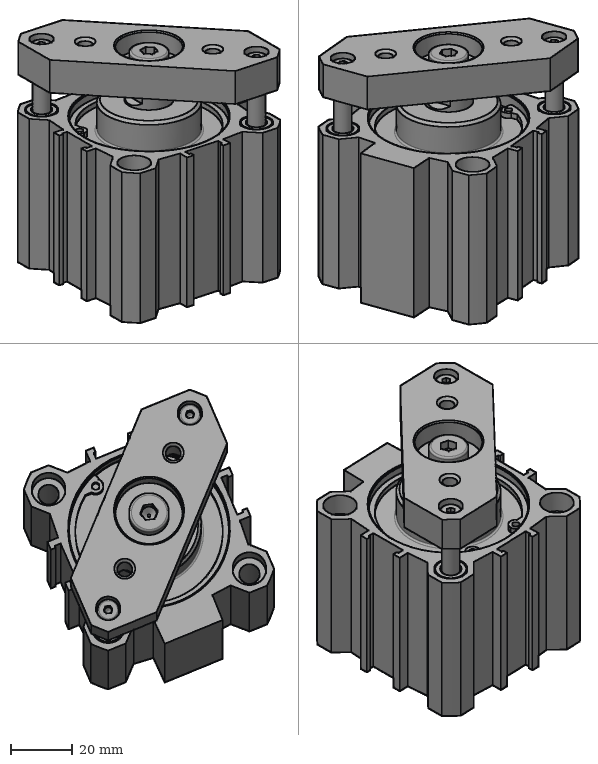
import cadquery as cq
import math


TOTAL_HEIGHT = 80.0
HOUSING_HEIGHT = 54.4
PLATE_THICKNESS = 12.0
PLATE_BOTTOM = TOTAL_HEIGHT - PLATE_THICKNESS
BASE_WALL = 6.4

HOUSING_HALF = 32.5
EAR_OUTER = 28.2
EAR_INNER = 21.9
WALL_EAR_ALONG = 17.2
WALL_EAR_OUT = 27.8
WALL_OUT = 28.5
RAIL_OUTER = 8.9
RAIL_INNER = 6.7
RAIL_LIP = 6.0
RAIL_TOP = 32.2
LIP_THICKNESS = 1.7
PORT_BLOCK_HALF = 10.2
PORT_BLOCK_ROOT_HALF = 10.5
PORT_BLOCK_OUT = 37.5

CORNER = 25.0
MOUNT_HOLE_DIA = 6.6
MOUNT_BORE_DIA = 11.0
MOUNT_BORE_DEPTH = 7.5

BUSHING_DIA = 10.9
BUSHING_LENGTH = 16.0
BUSHING_CHAMFER = 0.4
BUSHING_MOUTH_DIA = 7.0

RECESS_DIA = 52.2
RECESS_CHAMFER = 0.4
COVER_THICKNESS = 9.6
COVER_TOP_DIA = 51.8
RING_DROP = 3.0
RING_THICKNESS = 1.9
COVER_FLANGE_TOP = HOUSING_HEIGHT - RING_DROP - RING_THICKNESS
COVER_BOTTOM = COVER_FLANGE_TOP - COVER_THICKNESS
BOSS_DIA = 34.2
BOSS_TOP = 60.5
BOSS_CHAMFER = 1.0
BOSS_ROOT_FILLET = 0.6
RING_INNER_RADIUS = 24.1
RING_GAP_HALF_ANGLE = 20.0
LUG_X = 10.2
LUG_Y = -20.7
LUG_RADIUS = 2.5
LUG_HOLE_DIA = 2.5
LUG_SHOULDER_Y = -19.3

ROD_DIA = 16.2
ROD_END_FILLET = 1.9
FLATS_WIDTH = 13.0
FLATS_BOTTOM = 62.6
PIN_DIA = 6.0
PIN_CHAMFER = 0.2

PLATE_HALF = 32.3
PLATE_WIDTH = 30.2
PLATE_LENGTH = 85.4
ROD_SEAT_DIA = 22.0
ROD_SEAT_DEPTH = 7.0
ROD_SEAT_CHAMFER = 0.5
TAP_OFFSET = 14.9
TAP_DIA = 4.9
TAP_MOUTH_DIA = 6.8
PIN_SEAT_DIA = 8.0
PIN_SEAT_DEPTH = 5.2

SOCKET_DEPTH_RATIO = 0.6
SOCKET_ANGLE = 45.0
ROD_HEAD_DIA = 13.0
ROD_HEAD_HEIGHT = 5.2
ROD_HEAD_FILLET = 0.7
ROD_NECK_DIA = 8.0
ROD_SOCKET = 5.0
PIN_HEAD_DIA = 7.0
PIN_HEAD_HEIGHT = 3.5
PIN_HEAD_FILLET = 0.5
PIN_NECK_DIA = 4.0
PIN_SOCKET = 2.5

MOUNT_CENTRES = [(-CORNER, CORNER), (CORNER, -CORNER)]
GUIDE_CENTRES = [(-CORNER, -CORNER), (CORNER, CORNER)]
TAP_CENTRES = [(-TAP_OFFSET, -TAP_OFFSET), (TAP_OFFSET, TAP_OFFSET)]


def cylinder(diameter, bottom, top, centres=((0, 0),)):
    """Upright cylinders of one diameter between two levels."""
    sketch = cq.Workplane("XY").workplane(offset=bottom).pushPoints(list(centres))
    return sketch.circle(diameter / 2).extrude(top - bottom)


def countersink(mouth_dia, hole_dia, top, centres=((0, 0),)):
    """45 degree cones that open a hole up to its mouth diameter at the given level."""
    depth = (mouth_dia - hole_dia) / 2
    cone = cq.Solid.makeCone(hole_dia / 2, mouth_dia / 2, depth)
    return cq.Workplane("XY").pushPoints(list(centres)).eachpoint(
        lambda place: cone.moved(cq.Location(cq.Vector(0, 0, top - depth))).moved(place))


def turned(point, quarter_turns):
    """Rotate a plan point about Z by quarter turns."""
    x, y = point
    for _ in range(quarter_turns):
        x, y = -y, x
    return x, y



def rail_side():
    """Mid-part of the -Y side: two hooked rails facing each other."""
    lip_root = -RAIL_TOP + LIP_THICKNESS
    right_half = [
        (RAIL_INNER, -WALL_OUT),
        (RAIL_INNER, lip_root),
        (RAIL_LIP, lip_root),
        (RAIL_LIP, -RAIL_TOP),
        (RAIL_OUTER, -RAIL_TOP),
        (RAIL_OUTER, -WALL_OUT),
    ]
    left_half = [(-x, y) for x, y in reversed(right_half)]
    return left_half + right_half


def port_side():
    """Mid-part of a -Y side that carries the port block."""
    return [
        (-PORT_BLOCK_ROOT_HALF, -WALL_OUT),
        (-PORT_BLOCK_HALF, -PORT_BLOCK_OUT),
        (PORT_BLOCK_HALF, -PORT_BLOCK_OUT),
        (PORT_BLOCK_ROOT_HALF, -WALL_OUT),
    ]


def ear_points():
    """Ear at the +X -Y corner; its rounded end runs between the third and fourth points."""
    return [
        (WALL_EAR_ALONG, -WALL_EAR_OUT),
        (EAR_INNER, -HOUSING_HALF),
        (EAR_OUTER, -HOUSING_HALF),
        (HOUSING_HALF, -EAR_OUTER),
        (HOUSING_HALF, -EAR_INNER),
        (WALL_EAR_OUT, -WALL_EAR_ALONG),
    ]


def housing_blank():
    """Extruded plan outline, counter-clockwise: each side is followed by the ear at its far end."""
    ear = ear_points()
    ear_end = math.hypot(HOUSING_HALF, EAR_OUTER) / math.sqrt(2)
    sides = [rail_side(), rail_side(), port_side(), rail_side()]
    outline = cq.Workplane("XY").moveTo(*turned(ear[-1], 3))
    for turn, side in enumerate(sides):
        for point in side + ear[:3]:
            outline = outline.lineTo(*turned(point, turn))
        outline = outline.threePointArc(turned((ear_end, -ear_end), turn), turned(ear[3], turn))
        outline = outline.lineTo(*turned(ear[4], turn))
        if turn < len(sides) - 1:
            outline = outline.lineTo(*turned(ear[5], turn))
    return outline.close().extrude(HOUSING_HEIGHT)


def make_housing():
    mount_seat = HOUSING_HEIGHT - MOUNT_BORE_DEPTH
    body = housing_blank()
    body = body.cut(cylinder(RECESS_DIA, COVER_BOTTOM, HOUSING_HEIGHT))
    body = body.cut(countersink(RECESS_DIA + 2 * RECESS_CHAMFER, RECESS_DIA, HOUSING_HEIGHT))
    body = body.cut(cylinder(ROD_DIA, BASE_WALL, COVER_BOTTOM))
    body = body.cut(cylinder(MOUNT_HOLE_DIA, 0, HOUSING_HEIGHT, MOUNT_CENTRES))
    body = body.cut(cylinder(MOUNT_BORE_DIA, mount_seat, HOUSING_HEIGHT, MOUNT_CENTRES))
    body = body.cut(cylinder(PIN_DIA, BASE_WALL, HOUSING_HEIGHT, GUIDE_CENTRES))
    return body.cut(cylinder(BUSHING_DIA, HOUSING_HEIGHT - BUSHING_LENGTH, HOUSING_HEIGHT, GUIDE_CENTRES))



def make_guide_bushing(x, y):
    bottom = HOUSING_HEIGHT - BUSHING_LENGTH
    bushing = cylinder(BUSHING_DIA, bottom, HOUSING_HEIGHT).faces(">Z").chamfer(BUSHING_CHAMFER)
    bushing = bushing.cut(cylinder(PIN_DIA, bottom, HOUSING_HEIGHT))
    bushing = bushing.cut(countersink(BUSHING_MOUTH_DIA, PIN_DIA, HOUSING_HEIGHT))
    return bushing.translate((x, y, 0))



def make_rod_cover():
    """Flange with a chamfered edge and a boss that rises from it with a root fillet."""
    flange_radius = RECESS_DIA / 2
    top_radius = COVER_TOP_DIA / 2
    boss_radius = BOSS_DIA / 2
    profile = (
        cq.Workplane("XZ")
        .moveTo(ROD_DIA / 2, COVER_BOTTOM)
        .lineTo(flange_radius, COVER_BOTTOM)
        .lineTo(flange_radius, COVER_FLANGE_TOP - (flange_radius - top_radius))
        .lineTo(top_radius, COVER_FLANGE_TOP)
        .lineTo(boss_radius + BOSS_ROOT_FILLET, COVER_FLANGE_TOP)
        .radiusArc((boss_radius, COVER_FLANGE_TOP + BOSS_ROOT_FILLET), BOSS_ROOT_FILLET)
        .lineTo(boss_radius, BOSS_TOP - BOSS_CHAMFER)
        .lineTo(boss_radius - BOSS_CHAMFER, BOSS_TOP)
        .lineTo(ROD_DIA / 2, BOSS_TOP)
        .close()
    )
    return profile.revolve(360, (0, 0, 0), (0, 1, 0))



def make_retaining_ring():
    bottom = COVER_FLANGE_TOP
    top = bottom + RING_THICKNESS
    gap_slope = math.tan(math.radians(RING_GAP_HALF_ANGLE))
    disc = cylinder(RECESS_DIA, bottom, top)
    ring = disc.cut(cylinder(2 * RING_INNER_RADIUS, bottom, top))
    shoulder_end = math.sqrt(RING_INNER_RADIUS**2 - LUG_SHOULDER_Y**2)
    reach = RECESS_DIA
    gap = cq.Workplane("XY").workplane(offset=bottom).polyline(
        [(0, 0), (-reach * gap_slope, -reach), (reach * gap_slope, -reach)]).close().extrude(RING_THICKNESS)
    ring = ring.cut(gap)
    for side in (-1, 1):
        lug = cylinder(2 * LUG_RADIUS, bottom, top, [(side * LUG_X, LUG_Y)])
        web = cq.Workplane("XY").workplane(offset=bottom).polyline([
            (side * LUG_X, LUG_SHOULDER_Y),
            (side * shoulder_end, LUG_SHOULDER_Y),
            (side * shoulder_end, -RECESS_DIA / 2),
            (side * -LUG_Y * gap_slope, LUG_Y),
        ]).close().extrude(RING_THICKNESS).cut(gap)
        ring = ring.union(lug).union(web.intersect(disc))
        ring = ring.cut(cylinder(LUG_HOLE_DIA, bottom, top, [(side * LUG_X, LUG_Y)]))
    return ring



def socket_head(seat, diameter, height, rim_fillet, socket):
    """Round head resting at the seat level, with a hexagon socket that ends in a cone."""
    top = seat + height
    across_corners = socket / math.cos(math.pi / 6)
    socket_depth = SOCKET_DEPTH_RATIO * height
    head = cylinder(diameter, seat, top).faces(">Z").edges().fillet(rim_fillet)
    hexagon = cq.Workplane("XY").workplane(offset=top - socket_depth).polygon(6, across_corners)
    head = head.cut(hexagon.extrude(socket_depth).rotate((0, 0, 0), (0, 0, 1), SOCKET_ANGLE))
    return head.cut(countersink(socket, 0, top - socket_depth))


def make_piston_rod():
    rod = cylinder(ROD_DIA, BASE_WALL, PLATE_BOTTOM)
    rod = rod.faces(">Z").edges().fillet(ROD_END_FILLET)
    half = FLATS_WIDTH / 2
    runout = ROD_DIA / 2 - half
    for side in (-1, 1):
        flat = cq.Workplane("YZ").polyline([
            (side * half, PLATE_BOTTOM),
            (side * half, FLATS_BOTTOM),
            (side * (half + runout), FLATS_BOTTOM - runout),
            (side * (half + runout), PLATE_BOTTOM),
        ]).close().extrude(ROD_DIA / 2, both=True)
        rod = rod.cut(flat)
    seat = TOTAL_HEIGHT - ROD_SEAT_DEPTH
    rod = rod.union(cylinder(ROD_NECK_DIA, PLATE_BOTTOM, seat))
    return rod.union(socket_head(seat, ROD_HEAD_DIA, ROD_HEAD_HEIGHT, ROD_HEAD_FILLET, ROD_SOCKET))


def make_guide_pin(x, y):
    pin = cylinder(PIN_DIA, BASE_WALL, PLATE_BOTTOM).faces(">Z").chamfer(PIN_CHAMFER)
    seat = TOTAL_HEIGHT - PIN_SEAT_DEPTH
    pin = pin.union(cylinder(PIN_NECK_DIA, PLATE_BOTTOM, seat))
    pin = pin.union(socket_head(seat, PIN_HEAD_DIA, PIN_HEAD_HEIGHT, PIN_HEAD_FILLET, PIN_SOCKET))
    return pin.translate((x, y, 0))



def make_tool_plate():
    bore_floor = TOTAL_HEIGHT - ROD_SEAT_DEPTH
    guide_floor = TOTAL_HEIGHT - PIN_SEAT_DEPTH
    level = cq.Workplane("XY").workplane(offset=PLATE_BOTTOM)
    bar = level.rect(PLATE_LENGTH, PLATE_WIDTH).extrude(PLATE_THICKNESS)
    plate = bar.rotate((0, 0, 0), (0, 0, 1), 45)
    plate = plate.intersect(level.rect(2 * PLATE_HALF, 2 * PLATE_HALF).extrude(PLATE_THICKNESS))
    plate = plate.cut(cylinder(ROD_SEAT_DIA, bore_floor, TOTAL_HEIGHT))
    plate = plate.cut(countersink(ROD_SEAT_DIA + 2 * ROD_SEAT_CHAMFER, ROD_SEAT_DIA, TOTAL_HEIGHT))
    plate = plate.cut(cylinder(ROD_NECK_DIA, PLATE_BOTTOM, TOTAL_HEIGHT))
    plate = plate.cut(cylinder(TAP_DIA, PLATE_BOTTOM, TOTAL_HEIGHT, TAP_CENTRES))
    plate = plate.cut(countersink(TAP_MOUTH_DIA, TAP_DIA, TOTAL_HEIGHT, TAP_CENTRES))
    plate = plate.cut(cylinder(PIN_NECK_DIA, PLATE_BOTTOM, TOTAL_HEIGHT, GUIDE_CENTRES))
    return plate.cut(cylinder(PIN_SEAT_DIA, guide_floor, TOTAL_HEIGHT, GUIDE_CENTRES))


housing = make_housing()
rod_cover = make_rod_cover()
retaining_ring = make_retaining_ring()
piston_rod = make_piston_rod()
tool_plate = make_tool_plate()
guide_bushings = [make_guide_bushing(x, y) for x, y in GUIDE_CENTRES]
guide_pins = [make_guide_pin(x, y) for x, y in GUIDE_CENTRES]

result = cq.Compound.makeCompound([
    housing.val(),
    rod_cover.val(),
    retaining_ring.val(),
    piston_rod.val(),
    tool_plate.val(),
    *[bushing.val() for bushing in guide_bushings],
    *[pin.val() for pin in guide_pins],
])